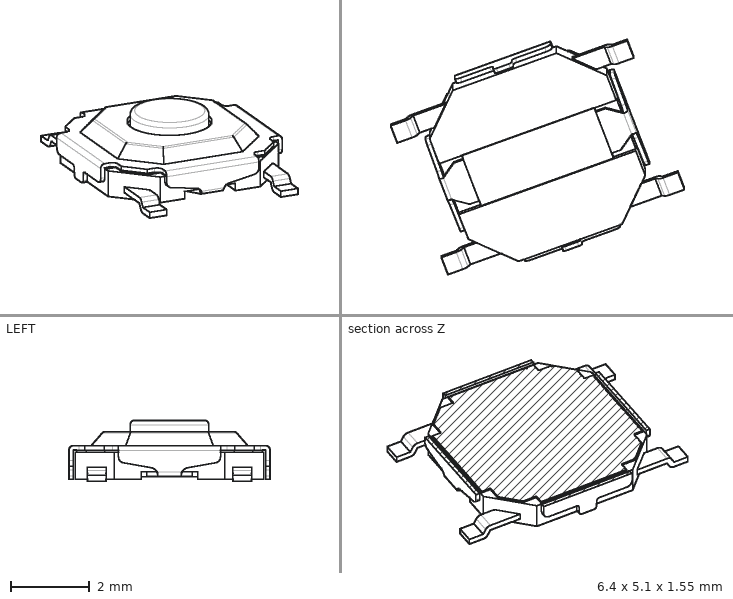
import cadquery as cq
import math


edge_tolerance = 0.0005

body_half = 2.395
corner_sum = 3.795
body_bottom = 0.05
body_top = 0.74
spacer_inset = 0.04

sheet = 0.115
cover_top = 0.91
cover_bottom = cover_top - sheet
cover_half = 2.145
cover_span = 5.1
flap_outer = cover_span / 2
flap_inner = flap_outer - sheet
flap_half_width = 1.29
notch_radius = 0.155
flap_corner_radius = 0.155

plain_flap_bottom = 0.385
plain_tab_half_width = 0.255
plain_tab_radius = 0.09

hook_edge_drop = 0.49
hook_edge_neck = 0.32
hook_half_width = 0.3
hook_neck_radius = 0.2
hook_bottom = 0.135
hook_end_half_width = 0.575
hook_flare_end = 2.05
hook_end = 1.79
channel_half_width = 0.71
channel_top = 0.115
hook_pocket_top = hook_bottom + sheet

dome_base_half = 1.985
dome_base_corner = 1.11
dome_top = 1.26
dome_top_half = 1.68
dome_edge_radius = 0.08
button_diameter = 2.0
button_top = 1.55
button_edge_radius = 0.11
hole_diameter = 2.15

lead_thickness = 0.16
lead_width = 0.48
lead_offset = 1.84
lead_tip = 3.2
lead_root = 1.41
lead_upper_bottom = 0.205
upper_bend = 2.585
lower_bend = 2.8


def octagon(half, corner):
    """Points of an octagon with straight sides at +-half and corners at +-corner."""
    return [
        (half, -corner), (half, corner), (corner, half), (-corner, half),
        (-half, corner), (-half, -corner), (-corner, -half), (corner, -half),
    ]


def octagon_prism(half, corner, bottom, top):
    outline = cq.Workplane("XY", origin=(0, 0, bottom)).polyline(octagon(half, corner)).close()
    return outline.extrude(top - bottom)


def box(x0, x1, y0, y1, z0, z1):
    return cq.Workplane("XY").box(x1 - x0, y1 - y0, z1 - z0, centered=False).translate((x0, y0, z0))


def cross_plate(inset, reach, bottom, top):
    """Octagon of the cover, drawn in by inset, with four strips reaching out to the flaps."""
    half = cover_half - inset
    corner = corner_sum - inset * math.sqrt(2) - half
    strip = flap_half_width - inset
    plate = octagon_prism(half, corner, bottom, top)
    plate = plate.union(box(-strip, strip, -reach, reach, bottom, top))
    return plate.union(box(-reach, reach, -strip, strip, bottom, top))


def make_body():
    body = octagon_prism(body_half, corner_sum - body_half, body_bottom, body_top)
    body = body.union(cross_plate(spacer_inset, body_half - spacer_inset, body_top, cover_bottom))
    w = channel_half_width
    body = body.cut(box(-body_half, body_half, -w, w, body_bottom, channel_top))
    for x0, x1 in ((-body_half, -hook_end), (hook_end, body_half)):
        body = body.cut(box(x0, x1, -w, w, body_bottom, hook_pocket_top))
    return body


def is_near(value, target):
    return math.isclose(value, target, abs_tol=edge_tolerance)


def is_notch_corner(edge):
    """True for the upright edges where a flap strip meets the octagon of the cover."""
    center = edge.Center()
    near, far = sorted((abs(center.x), abs(center.y)))
    return is_near(near, flap_half_width) and is_near(far, cover_half)


def mirrored_outline(half_outline):
    """Close a half outline, given from the top down at positive u, by its mirror image."""
    return half_outline + [(-u, z) for u, z in reversed(half_outline)]


def fillet_at(prism, u, z, radius):
    """Round the pair of edges along Y that pass through (+-u, z)."""
    def matches(edge):
        center = edge.Center()
        return is_near(abs(center.x), u) and is_near(center.z, z)

    return prism.edges("|Y").filter(matches).fillet(radius)


def flap_wall(half_outline, radii):
    """Front flap wall; each outline point has its own radius, and 0 keeps the corner sharp."""
    outline = cq.Workplane("XZ", origin=(0, -flap_inner, 0)).polyline(mirrored_outline(half_outline)).close()
    wall = outline.extrude(sheet)
    for (u, z), radius in zip(half_outline, radii):
        if radius:
            wall = fillet_at(wall, u, z, radius)
    return wall


def make_plain_flap():
    """Front flap with a straight tab reaching down to the underside of the body."""
    half_outline = [
        (flap_half_width, cover_bottom),
        (flap_half_width, plain_flap_bottom),
        (plain_tab_half_width, plain_flap_bottom),
        (plain_tab_half_width, body_bottom),
    ]
    return flap_wall(half_outline, (0, flap_corner_radius, plain_tab_radius, plain_tab_radius))


def make_hooked_flap():
    """Flap with sloping lower edges and a tab folded under the body, built at the front."""
    half_outline = [
        (flap_half_width, cover_bottom),
        (flap_half_width, hook_edge_drop),
        (hook_half_width, hook_edge_neck),
        (hook_half_width, hook_bottom),
    ]
    wall = flap_wall(half_outline, (0, flap_corner_radius, hook_neck_radius, 0))
    hook_outline = [
        (hook_half_width, -flap_outer),
        (hook_half_width, -flap_inner),
        (hook_end_half_width, -hook_flare_end),
        (hook_end_half_width, -hook_end),
    ]
    hook = cq.Workplane("XY", origin=(0, 0, hook_bottom)).polyline(mirrored_outline(hook_outline)).close()
    hook = hook.extrude(sheet)
    return wall.union(hook).edges("|X").edges("<Y").edges("<Z").fillet(sheet)


def make_cover():
    cover = cross_plate(0, flap_outer, cover_bottom, cover_top)
    cover = cover.edges("|Z").filter(is_notch_corner).fillet(notch_radius)
    for angle in (0, 180):
        cover = cover.union(make_plain_flap().rotate((0, 0, 0), (0, 0, 1), angle))
        cover = cover.union(make_hooked_flap().rotate((0, 0, 0), (0, 0, 1), angle + 90))
    for outer_edge in ("<X", ">X", "<Y", ">Y"):
        cover = cover.faces(">Z").edges(outer_edge).fillet(sheet)
    return cover


def make_dome():
    height = dome_top - cover_top
    taper = math.degrees(math.atan2(dome_base_half - dome_top_half, height))
    base = cq.Workplane("XY", origin=(0, 0, cover_top))
    base = base.polyline(octagon(dome_base_half, dome_base_corner)).close()
    return base.extrude(height, taper=taper).faces(">Z").edges().fillet(dome_edge_radius)


def make_button():
    button = cq.Workplane("XY", origin=(0, 0, cover_top)).circle(button_diameter / 2)
    return button.extrude(button_top - cover_top).faces(">Z").edges().fillet(button_edge_radius)


def make_lead():
    """Lead toward +X: upper run, sloping run and foot, each bend swept about its sharp inner corner."""
    upper_top = lead_upper_bottom + lead_thickness
    run = lower_bend - upper_bend
    rise = lead_upper_bottom - lead_thickness
    slope_angle = math.asin(lead_thickness / math.hypot(run, rise)) + math.atan2(rise, run)

    def arc_point(angle):
        return lead_thickness * math.sin(angle), lead_thickness * math.cos(angle)

    end_x, end_z = arc_point(slope_angle)
    mid_x, mid_z = arc_point(slope_angle / 2)
    return (
        cq.Workplane("XZ", origin=(0, lead_width / 2, 0))
        .moveTo(lead_root, lead_upper_bottom)
        .lineTo(lead_root, upper_top)
        .lineTo(upper_bend, upper_top)
        .threePointArc(
            (upper_bend + mid_x, lead_upper_bottom + mid_z),
            (upper_bend + end_x, lead_upper_bottom + end_z),
        )
        .lineTo(lower_bend, lead_thickness)
        .lineTo(lead_tip, lead_thickness)
        .lineTo(lead_tip, 0)
        .lineTo(lower_bend, 0)
        .threePointArc(
            (lower_bend - mid_x, lead_thickness - mid_z),
            (lower_bend - end_x, lead_thickness - end_z),
        )
        .lineTo(upper_bend, lead_upper_bottom)
        .close()
        .extrude(lead_width)
    )


def make_button_hole():
    """Clearance hole around the button, one sheet thickness deep."""
    return cq.Workplane("XY", origin=(0, 0, dome_top - sheet)).circle(hole_diameter / 2).extrude(sheet)


result = make_body().union(make_cover()).union(make_dome())
result = result.cut(make_button_hole()).union(make_button())
for lead_y in (-lead_offset, lead_offset):
    lead = make_lead().translate((0, lead_y, 0))
    for angle in (0, 180):
        result = result.union(lead.rotate((0, 0, 0), (0, 0, 1), angle))